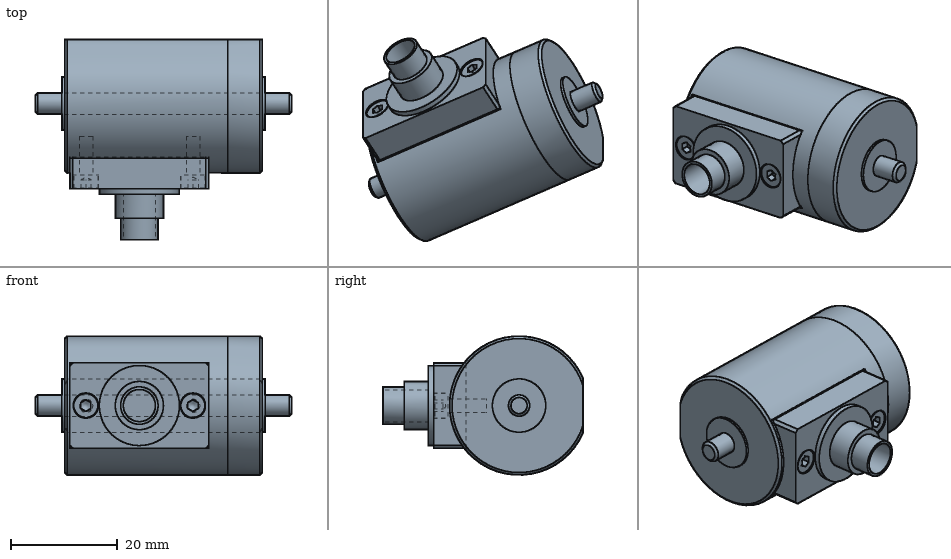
import cadquery as cq
import math


body_diameter = 26.0
body_length = 37.0
cap_length = 6.5
flat_offset = 12.0
end_chamfer = 0.5
boss_diameter = 10.0
boss_height = 0.5

body_half = body_length / 2
joint_x = body_half - cap_length

shaft_diameter = 4.0
shaft_length = 48.0
shaft_chamfer = 0.5

plate_length = 26.0
plate_height = 16.0
plate_x = -4.5
plate_face = 16.0
seat_offset = 10.0
plate_edge_chamfer = 0.6

flange_diameter = 15.0
flange_thickness = 1.0
barrel_diameter = 9.0
barrel_length = 4.5
collar_diameter = 7.0
collar_length = 4.0
bore_diameter = 6.0

screw_spacing = 20.0
head_diameter = 4.5
head_height = 2.5
head_recess = 0.2
counterbore_diameter = 4.7
shank_diameter = 2.5
shank_length = 7.2
hex_across_flats = 1.9
hex_depth = 1.5
hex_tip_height = 0.6

screw_positions = [plate_x - screw_spacing / 2, plate_x + screw_spacing / 2]
head_top = plate_face - head_recess
head_seat = head_top - head_height


def x_cylinder(diameter, start, end):
    """Cylinder on the shaft axis between two X positions."""
    return cq.Workplane("YZ").workplane(offset=start).circle(diameter / 2).extrude(end - start)


def y_cylinder(diameter, x, outer, depth):
    """Cylinder that starts at distance `outer` on the -Y side and goes inward by `depth`."""
    return (
        cq.Workplane("XZ", origin=(x, 0, 0))
        .workplane(offset=outer - depth)
        .circle(diameter / 2)
        .extrude(depth)
    )


def plate_block():
    """Sharp-edged block of the side plate, also the shape of its pocket."""
    return (
        cq.Workplane("XZ", origin=(plate_x, 0, 0))
        .workplane(offset=seat_offset)
        .rect(plate_length, plate_height)
        .extrude(plate_face - seat_offset)
    )


def screw_shank(x):
    """Shank below the screw head, also the shape of its hole."""
    return y_cylinder(shank_diameter, x, head_seat, shank_length)


def cut_flat(body):
    """Cut the flat on the +Y side."""
    waste = cq.Workplane("XY").box(
        shaft_length, body_diameter, body_diameter, centered=(True, False, True)
    )
    return body.cut(waste.translate((0, flat_offset, 0)))


def make_housing():
    body = x_cylinder(body_diameter, -body_half, joint_x).faces("<X").chamfer(end_chamfer)
    body = cut_flat(body)
    body = body.union(x_cylinder(boss_diameter, -body_half - boss_height, joint_x))
    body = body.cut(x_cylinder(shaft_diameter, -shaft_length / 2, shaft_length / 2))
    body = body.cut(plate_block())
    for x in screw_positions:
        body = body.cut(screw_shank(x))
    return body


def make_cap():
    body = x_cylinder(body_diameter, joint_x, body_half).faces(">X").chamfer(end_chamfer)
    body = cut_flat(body)
    body = body.union(x_cylinder(boss_diameter, joint_x, body_half + boss_height))
    return body.cut(x_cylinder(shaft_diameter, -shaft_length / 2, shaft_length / 2))


def make_shaft():
    shaft = x_cylinder(shaft_diameter, -shaft_length / 2, shaft_length / 2)
    return shaft.faces("<X or >X").chamfer(shaft_chamfer)


def make_plate():
    plate = plate_block().edges("|Y").chamfer(plate_edge_chamfer)
    for x in screw_positions:
        plate = plate.cut(y_cylinder(counterbore_diameter, x, plate_face, plate_face - head_seat))
        plate = plate.cut(screw_shank(x))
    return plate


def make_connector():
    flange_face = plate_face + flange_thickness
    barrel_end = flange_face + barrel_length
    collar_end = barrel_end + collar_length
    connector = y_cylinder(flange_diameter, plate_x, flange_face, flange_thickness)
    connector = connector.union(y_cylinder(barrel_diameter, plate_x, barrel_end, barrel_length))
    connector = connector.union(y_cylinder(collar_diameter, plate_x, collar_end, collar_length))
    return connector.cut(y_cylinder(bore_diameter, plate_x, collar_end, collar_end - flange_face))


def hex_socket(x):
    """Hexagon prism with two corners along Z, closed at the bottom by a cone."""
    corner_radius = hex_across_flats / 2 / math.cos(math.pi / 6)
    prism = (
        cq.Workplane("XZ", origin=(x, 0, 0))
        .workplane(offset=head_top - hex_depth - hex_tip_height)
        .transformed(rotate=(0, 0, 90))
        .polygon(6, 2 * corner_radius)
        .extrude(hex_depth + hex_tip_height)
    )
    pointed_pin = (
        cq.Workplane("XY", origin=(x, -head_top, 0))
        .lineTo(corner_radius, 0)
        .lineTo(corner_radius, hex_depth)
        .lineTo(0, hex_depth + hex_tip_height)
        .close()
        .revolve(360, (0, 0, 0), (0, 1, 0))
    )
    return prism.intersect(pointed_pin)


def make_screw(x):
    """Socket head screw in its seated place."""
    screw = y_cylinder(head_diameter, x, head_top, head_height).union(screw_shank(x))
    return screw.cut(hex_socket(x))


housing = make_housing()
cap = make_cap()
shaft = make_shaft()
plate = make_plate()
connector = make_connector()
screws = [make_screw(x) for x in screw_positions]

result = cq.Compound.makeCompound(
    [
        housing.val(),
        cap.val(),
        shaft.val(),
        plate.val(),
        connector.val(),
        *[screw.val() for screw in screws],
    ]
)